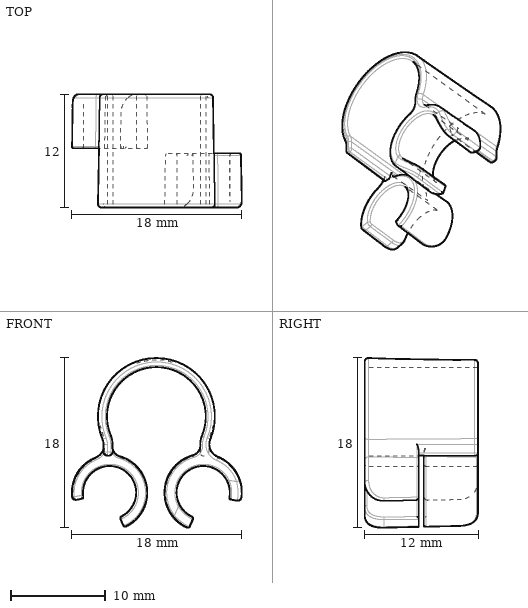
import cadquery as cq
import math

LENGTH = 12.0
SLOT = 0.5
LEFT_CLIP_FRONT = (LENGTH + SLOT) / 2
RIGHT_CLIP_BACK = (LENGTH - SLOT) / 2
DRAFT = math.tan(math.radians(1.0))

RING_OUTER = 6.2
RING_BORE = 5.21
NECK_WALL = RING_OUTER - RING_BORE
NECK_ROUND = 1.4
INNER_FLARE = 1.0
WALL_END_Z = -4.13

CLIP_X = 4.945
CLIP_Z = -8.04
CLIP_OUTER = 4.11
CLIP_BORE = 2.8
TIP_RAYS = ((-11.0, -1), (-114.0, 1))
SLOT_EDGE_ANGLE = 30.0

END_ROUND = 0.4
SMALL_ROUND = 0.22
FRONT_WALL_END_ROUND = 0.4
BACK_WALL_END_ROUND = 0.3
TIP_CORNER = 2.0


def circle_crossing(center_a, radius_a, center_b, radius_b):
    """Crossing of two circles that lies to the left of the direction a -> b."""
    dx = center_b[0] - center_a[0]
    dz = center_b[1] - center_a[1]
    span = math.hypot(dx, dz)
    along = (span**2 + radius_a**2 - radius_b**2) / (2 * span)
    aside = math.sqrt(radius_a**2 - along**2)
    return (
        center_a[0] + (along * dx - aside * dz) / span,
        center_a[1] + (along * dz + aside * dx) / span,
    )


RING_CENTER = (0.0, 0.0)
CLIP_CENTER = (CLIP_X, CLIP_Z)
NECK_CENTER = circle_crossing(
    RING_CENTER, RING_OUTER + NECK_ROUND, CLIP_CENTER, CLIP_OUTER + NECK_ROUND
)
NECK_INNER_X = NECK_CENTER[0] - NECK_ROUND - NECK_WALL
NECK_Z = NECK_CENTER[1]


def draft_inset(y):
    return y * DRAFT


def direction(start, end):
    return math.degrees(math.atan2(end[1] - start[1], end[0] - start[0]))


def on_circle(center, radius, angle):
    turn = math.radians(angle)
    return (center[0] + radius * math.cos(turn), center[1] + radius * math.sin(turn))


def arc_to(sketch, center, radius, start_angle, end_angle):
    middle = on_circle(center, radius, (start_angle + end_angle) / 2)
    return sketch.threePointArc(middle, on_circle(center, radius, end_angle))


def section_plane(y):
    """Plane at depth y whose local axes are X and Z."""
    return cq.Workplane(cq.Plane(origin=(0, y, 0), xDir=(1, 0, 0), normal=(0, -1, 0)))


def drafted_body(section, y_front, y_back):
    wires = [section(y).val() for y in (y_front, y_back)]
    return cq.Workplane(cq.Solid.makeLoft(wires, True))


def place(x_z, y, side=1):
    """Point at depth y; side -1 mirrors it to the left half."""
    return (side * x_z[0], y, x_z[1])


def round_edges(body, points, radius):
    """Round the edges through the given points, with the edges that run on smoothly from them."""
    edges = body.edges().vals()
    chosen = []
    for point in points:
        vertex = cq.Vertex.makeVertex(*point)
        chosen.append(min(edges, key=vertex.distance))
    return body.newObject(chosen).fillet(radius)


def ring_section(y):
    """Open ring with a neck and a straight free end on each side."""
    inset = draft_inset(y)
    outer = RING_OUTER - inset
    neck_outer = NECK_ROUND + inset
    neck_inner = NECK_ROUND + NECK_WALL
    left_neck = (-NECK_CENTER[0], NECK_Z)
    join = direction(RING_CENTER, NECK_CENTER)

    sketch = section_plane(y).moveTo(NECK_INNER_X, WALL_END_Z)
    sketch = sketch.lineTo(NECK_CENTER[0] - neck_outer, WALL_END_Z)
    sketch = sketch.lineTo(NECK_CENTER[0] - neck_outer, NECK_Z)
    sketch = arc_to(sketch, NECK_CENTER, neck_outer, 180, 180 + join)
    sketch = arc_to(sketch, RING_CENTER, outer, join, 90)
    sketch = arc_to(sketch, RING_CENTER, outer, 90, 180 - join)
    sketch = arc_to(sketch, left_neck, neck_outer, -join, 0)
    sketch = sketch.lineTo(neck_outer - NECK_CENTER[0], WALL_END_Z)
    sketch = sketch.lineTo(-NECK_INNER_X, WALL_END_Z)
    sketch = sketch.lineTo(-NECK_INNER_X, NECK_Z)
    sketch = arc_to(sketch, left_neck, neck_inner, 0, -join)
    sketch = arc_to(sketch, RING_CENTER, RING_BORE, 180 - join, 90)
    sketch = arc_to(sketch, RING_CENTER, RING_BORE, 90, join)
    sketch = arc_to(sketch, NECK_CENTER, neck_inner, 180 + join, 180)
    return sketch.close()


def clip_section(y):
    """Right-hand clip disc with a flared root that runs into the neck."""
    inset = draft_inset(y)
    outer = CLIP_OUTER - inset
    neck_outer = NECK_ROUND + inset
    flare_x = NECK_INNER_X - INNER_FLARE
    flare_z = CLIP_Z + math.sqrt((outer + INNER_FLARE) ** 2 - (flare_x - CLIP_X) ** 2)
    flare_center = (flare_x, flare_z)

    outer_root = direction(CLIP_CENTER, NECK_CENTER)
    inner_root = direction(CLIP_CENTER, flare_center)
    sketch = section_plane(y).moveTo(NECK_CENTER[0] - neck_outer, NECK_Z)
    sketch = arc_to(sketch, NECK_CENTER, neck_outer, 180, 180 + outer_root)
    sketch = arc_to(sketch, CLIP_CENTER, outer, outer_root, inner_root - 360)
    sketch = arc_to(sketch, flare_center, INNER_FLARE, inner_root - 180, 0)
    return sketch.close()


def tip_cutter(ray_angle, turn, y_end, inward):
    """Block that trims one clip tip along a drafted plane, with a round corner at y_end.

    turn is +1 or -1, the sense in which the opening lies from the ray.
    inward is +1 or -1, the direction along Y from the rounded end into the clip.
    """
    draft_angle = math.atan(DRAFT)
    corner_y = y_end + inward * TIP_CORNER
    corner_s = draft_inset(LENGTH - corner_y) - TIP_CORNER / math.cos(draft_angle)
    y_far = y_end + inward * LENGTH / 2
    beyond = y_end - inward

    facing = math.radians(ray_angle + 90 * turn)
    base = on_circle(CLIP_CENTER, (CLIP_BORE + CLIP_OUTER) / 2, ray_angle)
    plane = cq.Plane(
        origin=(base[0], 0, base[1]),
        xDir=(math.cos(facing), 0, math.sin(facing)),
        normal=(-math.sin(facing), 0, math.cos(facing)),
    )
    sketch = cq.Workplane(plane).moveTo(CLIP_OUTER, beyond).lineTo(corner_s, beyond)
    sketch = sketch.lineTo(corner_s, y_end)
    sketch = arc_to(sketch, (corner_s, corner_y), TIP_CORNER, -90 * inward, math.degrees(draft_angle))
    sketch = sketch.lineTo(draft_inset(LENGTH - y_far), y_far).lineTo(CLIP_OUTER, y_far)
    return sketch.close().extrude(CLIP_OUTER / 2, both=True)


def clip(y_end, y_slot):
    """Right-hand clip from its rounded end to the slot, with its outer edge at the slot rounded."""
    y_front, y_back = sorted((y_end, y_slot))
    inward = 1 if y_slot > y_end else -1
    body = drafted_body(clip_section, y_front, y_back)
    bore = section_plane(y_back).center(*CLIP_CENTER).circle(CLIP_BORE).extrude(y_back - y_front)
    body = body.cut(bore)
    for ray_angle, turn in TIP_RAYS:
        body = body.cut(tip_cutter(ray_angle, turn, y_end, inward))
    slot_edge = on_circle(CLIP_CENTER, CLIP_OUTER - draft_inset(y_slot), SLOT_EDGE_ANGLE)
    return round_edges(body, [place(slot_edge, y_slot)], SMALL_ROUND)


def ring_half(y_front):
    """Half of the ring's length, starting at y_front."""
    size = 4 * RING_OUTER
    box = cq.Workplane().box(size, LENGTH / 2, size).translate((0, y_front + LENGTH / 4, 0))
    return drafted_body(ring_section, 0, LENGTH).intersect(box)


def inner_end_edges(y_end, y_slot, side):
    """Bore edges of the ring and one clip at an end face, and the clip edges at the slot."""
    slot_outer = CLIP_OUTER - draft_inset(y_slot)
    return [
        place(on_circle(RING_CENTER, RING_BORE, 90), y_end),
        place(on_circle(CLIP_CENTER, CLIP_BORE, 90), y_end, side),
        place(on_circle(CLIP_CENTER, CLIP_BORE, 90), y_slot, side),
        place(on_circle(CLIP_CENTER, slot_outer, 180), y_slot, side),
    ]


def round_half(half, y_end, y_slot, side):
    """Round the end face of one half and the rest of its clip's edges at the slot."""
    ring_edge = place(on_circle(RING_CENTER, RING_OUTER - draft_inset(y_end), 90), y_end)
    half = round_edges(half, [ring_edge], END_ROUND)
    return round_edges(half, inner_end_edges(y_end, y_slot, side), SMALL_ROUND)


def wall_end_edges(y, side):
    """Both lower edges of the free ring wall beside a clip."""
    outer_x = NECK_CENTER[0] - NECK_ROUND - draft_inset(y)
    return [place((x, WALL_END_Z), y, side) for x in (outer_x, NECK_INNER_X)]


right_clip = clip(0, RIGHT_CLIP_BACK)
left_clip = clip(LENGTH, LEFT_CLIP_FRONT).mirror("YZ")
front_half = round_half(ring_half(0).union(right_clip), 0, RIGHT_CLIP_BACK, 1)
back_half = round_half(ring_half(LENGTH / 2).union(left_clip), LENGTH, LEFT_CLIP_FRONT, -1)
result = front_half.union(back_half)

result = round_edges(result, wall_end_edges(LENGTH / 4, -1), FRONT_WALL_END_ROUND)
result = round_edges(result, wall_end_edges(LENGTH * 3 / 4, 1), BACK_WALL_END_ROUND)